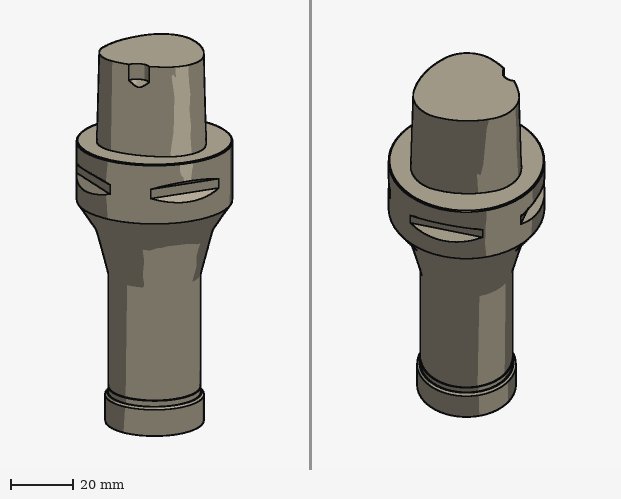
import cadquery as cq
import math

nose_height = 0.2
holder_bottom = 11.9
neck_bottom = 50.0
flare_bottom = 50.8
flare_top = 63.9
cone_bottom = 68.4
flange_bottom = 75.0
flange_top = 95.0
total_height = 125.0

barrel_radius = 29.6 / 2
barrel_chamfer = 0.2
flare_bottom_radius = 15.0
flare_top_radius = 18.4
cone_bottom_radius = 20.6
flange_radius = 25.0
flange_chamfer = 0.4

corner_reach = 18.6
side_reach = 16.4
corner_centre = 6.5
taper_angle = math.degrees(math.atan(1 / 40))

notch_radius = 4.1
notch_axis_y = -17.8
notch_depth = 5.2
drill_point_slope = 42
drill_point_height = notch_radius * math.tan(math.radians(drill_point_slope))

slot_count = 4
slot_height = 85.1
slot_floor_distance = 21.9
slot_floor_half_width = 3.1 / 2
slot_mouth_half_width = 3.5
slot_length = 2 * flange_radius

nut_collar_radius = barrel_radius
nut_radius = 15.9
nut_top = 10.0
nut_top_chamfer = 0.8
nut_bottom_fillet = 0.4
nose_radius = 10.4


def polar(radius, degrees):
    angle = math.radians(degrees)
    return (radius * math.cos(angle), radius * math.sin(angle))


def make_turned_holder():
    return (
        cq.Workplane("XZ")
        .moveTo(0, holder_bottom)
        .lineTo(barrel_radius - barrel_chamfer, holder_bottom)
        .lineTo(barrel_radius, holder_bottom + barrel_chamfer)
        .lineTo(barrel_radius, neck_bottom)
        .lineTo(flare_bottom_radius, flare_bottom)
        .lineTo(flare_top_radius, flare_top)
        .tangentArcPoint((cone_bottom_radius, cone_bottom), relative=False)
        .lineTo(flange_radius, flange_bottom)
        .lineTo(flange_radius, flange_top - flange_chamfer)
        .lineTo(flange_radius - flange_chamfer, flange_top)
        .lineTo(0, flange_top)
        .close()
        .revolve(360, (0, 0, 0), (0, 1, 0))
    )


def make_shank():
    corner_radius = corner_reach - corner_centre
    radius_gap = side_reach - corner_radius
    side_centre = (corner_centre**2 - radius_gap**2) / (2 * radius_gap - corner_centre)
    side_radius = side_reach + side_centre

    corner_x, corner_y = polar(corner_centre, -30)
    centre_gap = side_radius - corner_radius
    joint_x = side_radius * corner_x / centre_gap
    joint_y = side_centre + side_radius * (corner_y - side_centre) / centre_gap
    joint_reach = math.hypot(joint_x, joint_y)
    joint_angle = math.degrees(math.atan2(joint_x, -joint_y))

    outline = cq.Workplane("XY").workplane(offset=flange_top)
    outline = outline.moveTo(*polar(joint_reach, -90 - joint_angle))
    for side_angle in (-90, 30, 150):
        next_corner = side_angle + 60
        next_side = side_angle + 120
        outline = outline.threePointArc(
            polar(side_reach, side_angle), polar(joint_reach, side_angle + joint_angle)
        )
        outline = outline.threePointArc(
            polar(corner_reach, next_corner), polar(joint_reach, next_side - joint_angle)
        )
    return outline.close().extrude(total_height - flange_top, taper=taper_angle)


def make_notch_cutter():
    notch_floor = total_height - notch_depth
    return (
        cq.Workplane("XZ")
        .moveTo(0, notch_floor - drill_point_height)
        .lineTo(notch_radius, notch_floor)
        .lineTo(notch_radius, total_height)
        .lineTo(0, total_height)
        .close()
        .revolve(360, (0, 0, 0), (0, 1, 0))
        .translate((0, notch_axis_y, 0))
    )


def make_slot_cutter(angle):
    return (
        cq.Workplane("XZ")
        .moveTo(slot_floor_distance, slot_height - slot_floor_half_width)
        .lineTo(flange_radius, slot_height - slot_mouth_half_width)
        .lineTo(flange_radius, slot_height + slot_mouth_half_width)
        .lineTo(slot_floor_distance, slot_height + slot_floor_half_width)
        .close()
        .extrude(slot_length / 2, both=True)
        .rotate((0, 0, 0), (0, 0, 1), angle)
    )


def make_holder():
    body = make_turned_holder().union(make_shank()).cut(make_notch_cutter())
    for index in range(slot_count):
        body = body.cut(make_slot_cutter(45 + index * 360 / slot_count))
    return body


def make_nut():
    cap = (
        cq.Workplane("XY")
        .workplane(offset=nose_height)
        .circle(nut_radius)
        .extrude(nut_top - nose_height)
        .faces(">Z")
        .chamfer(nut_top_chamfer)
        .faces("<Z")
        .edges()
        .fillet(nut_bottom_fillet)
    )
    collar = (
        cq.Workplane("XY")
        .workplane(offset=nut_top)
        .circle(nut_collar_radius)
        .extrude(holder_bottom - nut_top)
    )
    nose = cq.Workplane("XY").circle(nose_radius).extrude(nose_height)
    return cap.union(collar).union(nose)


holder = make_holder()
nut = make_nut()
result = cq.Compound.makeCompound([holder.val(), nut.val()])